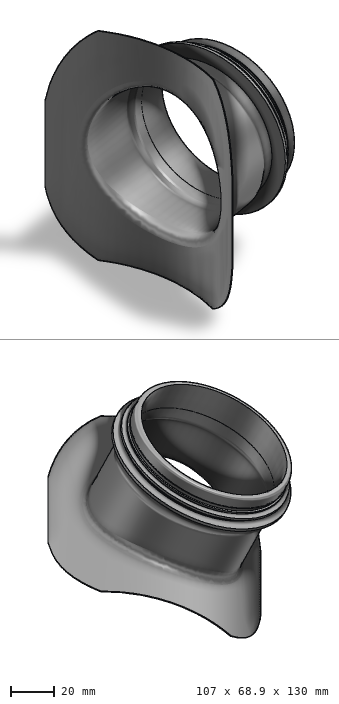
import cadquery as cq
import math

WALL = 0.5
SADDLE_INNER_R = 80.0
SADDLE_OUTER_R = SADDLE_INNER_R + WALL
PLATE_WIDTH = 107.0
PLATE_HEIGHT = 130.0
CORNER_R = 55.9
SIDE_FLAT_HALF = 24.2
END_FLAT_HALF = 32.8

TUBE_R = 39.0
TUBE_BORE_R = TUBE_R - WALL
BORE_R = 73.2 / 2
NECK_R = BORE_R + WALL
COLLAR_R = 79.0 / 2
GROOVE_R = 75.4 / 2
FLANGE_R = 89.5 / 2
ROOT_INNER_FILLET = 5.1
ROOT_OUTER_FILLET = ROOT_INNER_FILLET - WALL
BEND_R = 2.0
END_FILLET = 1.5

OVERALL_DEPTH = 68.9
PLATE_EDGE_Y = SADDLE_INNER_R * math.cos(math.asin(PLATE_WIDTH / 2 / SADDLE_OUTER_R))
END_Y = PLATE_EDGE_Y + OVERALL_DEPTH
BAND_Y = END_Y - 6.0
COLLAR_Y = END_Y - 13.5
FLANGE_BACK_Y = END_Y - 13.9
FLANGE_FRONT_Y = END_Y - 15.5
CONE_NECK_Y = END_Y - 21.5
CONE_TUBE_Y = END_Y - 24.3

SEAL_R = TUBE_R
SMALL_LIP_R = 40.0
SMALL_LIP_Y = END_Y - 8.8
SMALL_LIP_THICKNESS = 0.9
LARGE_LIP_R = 84.5 / 2
LARGE_LIP_Y = END_Y - 11.0
LARGE_LIP_THICKNESS = 1.3


def disc(radius, y_start, y_end):
    """Cylinder on the Y axis between two stations."""
    return cq.Workplane("XZ", origin=(0, y_start, 0)).circle(radius).extrude(y_start - y_end)


def branched_solid(main_r, branch_r, root_fillet):
    """Main cylinder on Z with a branch along +Y and a filleted root."""
    main = cq.Workplane("XY").circle(main_r).extrude(PLATE_HEIGHT, both=True)
    joined = main.union(disc(branch_r, 0, CONE_TUBE_Y))
    root = cq.selectors.BoxSelector(
        (-branch_r - 1.3, 1.3, -branch_r - 1.3), (branch_r + 1.3, main_r + 1.3, branch_r + 1.3)
    )
    return joined.edges(root).fillet(root_fillet)


def plate_wire(plane_y):
    """Plate outline projected from the Z axis onto the plane at plane_y."""
    half_width = PLATE_WIDTH / 2
    half_height = PLATE_HEIGHT / 2
    rise = half_height - SIDE_FLAT_HALF
    run = half_width - END_FLAT_HALF
    chord = math.hypot(rise, run)
    bulge = CORNER_R - math.sqrt(CORNER_R**2 - (chord / 2) ** 2)
    corner_mid_x = (half_width + END_FLAT_HALF) / 2 + bulge * rise / chord
    mid_z = (half_height + SIDE_FLAT_HALF) / 2 + bulge * run / chord

    def project(x):
        return x * plane_y / math.sqrt(SADDLE_OUTER_R**2 - x**2)

    side_x = project(half_width)
    mid_x = project(corner_mid_x)
    end_x = project(END_FLAT_HALF)
    return (
        cq.Workplane("XZ", origin=(0, plane_y, 0))
        .moveTo(side_x, -SIDE_FLAT_HALF)
        .lineTo(side_x, SIDE_FLAT_HALF)
        .threePointArc((mid_x, mid_z), (end_x, half_height))
        .lineTo(-end_x, half_height)
        .threePointArc((-mid_x, mid_z), (-side_x, SIDE_FLAT_HALF))
        .lineTo(-side_x, -SIDE_FLAT_HALF)
        .threePointArc((-mid_x, -mid_z), (-end_x, -half_height))
        .lineTo(end_x, -half_height)
        .threePointArc((mid_x, -mid_z), (side_x, -SIDE_FLAT_HALF))
        .close()
        .val()
    )


def plate_outline():
    """Wedge that trims the sheet square to its surface all around."""
    wires = [plate_wire(PLATE_EDGE_Y - 1.3), plate_wire(END_Y)]
    return cq.Workplane(cq.Solid.makeLoft(wires, True))


def reducer(tube_r, neck_r):
    """Solid cone from tube to neck, with the neck run to the spout end and rounded bends."""
    profile = [
        (0, PLATE_EDGE_Y),
        (tube_r, PLATE_EDGE_Y),
        (tube_r, CONE_TUBE_Y),
        (neck_r, CONE_NECK_Y),
        (neck_r, END_Y),
        (0, END_Y),
    ]
    turned = cq.Workplane("XY").polyline(profile).close().revolve(360, (0, 0, 0), (0, 1, 0))
    for bend_y in (CONE_TUBE_Y, CONE_NECK_Y):
        bend = cq.selectors.BoxSelector(
            (-TUBE_R, bend_y - WALL, -TUBE_R), (TUBE_R, bend_y + WALL, TUBE_R)
        )
        turned = turned.edges(bend).fillet(BEND_R)
    return turned


def make_saddle():
    """Saddle plate and spout with its flange, seal groove and end band."""
    pipe_zone = disc(FLANGE_R, CONE_TUBE_Y - BEND_R, END_Y)
    saddle_outside = branched_solid(SADDLE_OUTER_R, TUBE_R, ROOT_OUTER_FILLET).cut(pipe_zone)
    inside = branched_solid(SADDLE_INNER_R, TUBE_BORE_R, ROOT_INNER_FILLET).cut(pipe_zone)
    outside = saddle_outside.union(reducer(TUBE_R, NECK_R).intersect(pipe_zone))
    body = outside.intersect(plate_outline()).cut(inside)

    groove_floor = disc(GROOVE_R, COLLAR_Y, BAND_Y)
    flange = disc(FLANGE_R, FLANGE_FRONT_Y, FLANGE_BACK_Y)
    collar = disc(COLLAR_R, FLANGE_BACK_Y, COLLAR_Y)
    band = disc(COLLAR_R, BAND_Y, END_Y).faces(">Y").edges().fillet(END_FILLET)
    body = body.union(flange).union(collar).union(groove_floor).union(band)
    return body.cut(reducer(TUBE_BORE_R, BORE_R).intersect(pipe_zone))


def make_seal():
    """Seal ring that fills the groove, with a small and a large lip."""
    ring = disc(SEAL_R, COLLAR_Y, BAND_Y)
    small_lip = disc(SMALL_LIP_R, SMALL_LIP_Y, SMALL_LIP_Y + SMALL_LIP_THICKNESS)
    large_lip = disc(LARGE_LIP_R, LARGE_LIP_Y, LARGE_LIP_Y + LARGE_LIP_THICKNESS)
    return ring.union(small_lip).union(large_lip).cut(disc(GROOVE_R, COLLAR_Y, BAND_Y))


saddle = make_saddle()
seal = make_seal()
result = cq.Compound.makeCompound([saddle.solids().val(), seal.solids().val()])